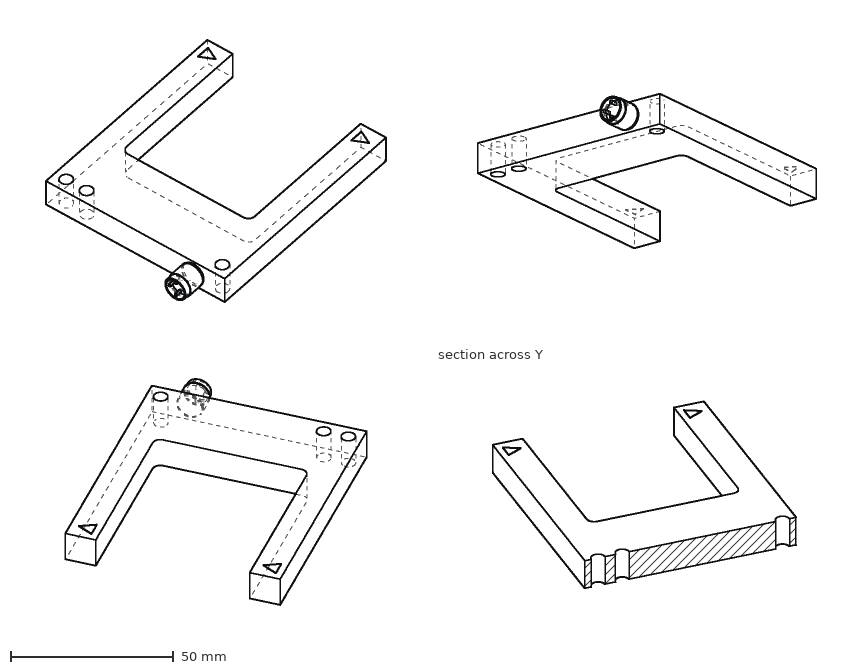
import cadquery as cq

body_width = 70.0
body_thickness = 10.0
overall_length = 89.0
arm_width = 10.0
slot_depth = 55.0
slot_corner_radius = 2.5

connector_x = 57.8
neck_length = 0.6
barrel_length = 6.1
tip_length = 2.2
barrel_diameter = 8.6
neck_diameter = 8.1
socket_diameter = 7.0
socket_depth = 2.5
pin_diameter = 1.0
pin_length = 2.2
pin_circle_radius = 2.5

hole_diameter = 4.45
hole_edge_distance = 4.45
hole_spacing = 8.0

arrow_size = 5.0
arrow_depth = 0.2
arrow_tip_distance = 5.1
arrow_offset = 2.3
arrow_pitch = 60.1

connector_length = neck_length + barrel_length + tip_length
body_length = overall_length - connector_length


def make_body():
    slot_width = body_width - 2 * arm_width
    block = cq.Workplane("XY").box(body_width, body_length, body_thickness, centered=False)
    slot = (
        cq.Workplane("XY")
        .box(slot_width, slot_depth, body_thickness, centered=False)
        .edges("|Z and <Y")
        .fillet(slot_corner_radius)
        .translate((arm_width, body_length - slot_depth, 0))
    )
    return block.cut(slot)


def make_mounting_holes():
    centers = [
        (hole_edge_distance, hole_edge_distance),
        (hole_edge_distance + hole_spacing, hole_edge_distance),
        (body_width - hole_edge_distance, hole_edge_distance),
    ]
    return cq.Workplane("XY").pushPoints(centers).circle(hole_diameter / 2).extrude(body_thickness)


def make_arrow(base_x):
    """Triangular recess pointing toward +X, cut into the top face."""
    center_y = body_length - arrow_tip_distance
    return (
        cq.Workplane("XY", origin=(base_x, center_y, body_thickness))
        .moveTo(0, -arrow_size / 2)
        .lineTo(arrow_size, 0)
        .lineTo(0, arrow_size / 2)
        .close()
        .extrude(-arrow_depth)
    )


def front_plane(distance):
    """Plane facing -Y on the connector axis, at a distance ahead of the body."""
    return cq.Workplane("XZ", origin=(connector_x, -distance, body_thickness / 2))


def make_connector():
    core = front_plane(0).circle(neck_diameter / 2).extrude(connector_length)
    barrel = front_plane(neck_length).circle(barrel_diameter / 2).extrude(barrel_length)
    socket_floor = connector_length - socket_depth
    socket = front_plane(socket_floor).circle(socket_diameter / 2).extrude(socket_depth)
    pin_centers = [(0, pin_circle_radius), (-pin_circle_radius, 0), (0, -pin_circle_radius)]
    pins = front_plane(socket_floor).pushPoints(pin_centers).circle(pin_diameter / 2).extrude(pin_length)
    return core.union(barrel).cut(socket).union(pins)


result = make_body().cut(make_mounting_holes())
for arm_index in range(2):
    result = result.cut(make_arrow(arrow_offset + arm_index * arrow_pitch))
result = result.union(make_connector())